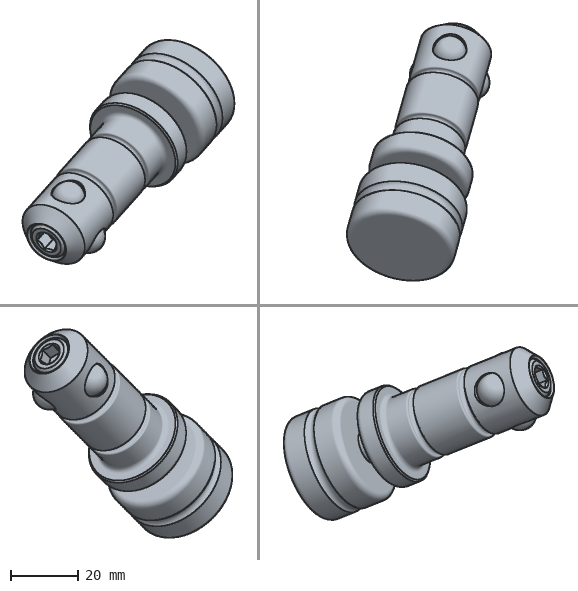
import cadquery as cq
import math


shank_radius = 11.0
nose_radius = 10.8
nose_chamfer = 4.0
collar_radius = 15.2
collar_front_y = 49.5
collar_length = 7.0
collar_rear_fillet = 2.0
collar_front_chamfer = 0.5
collar_root_fillet = 1.5
collar_rear_y = collar_front_y + collar_length

front_groove_y = 21.6
groove_spacing = 18.0
rear_groove_y = front_groove_y + groove_spacing
groove_half_width = 1.0
groove_lip_fillet = 0.5
groove_bottom_radius = 9.25

ball_radius = 5.0
ball_orbit_radius = 8.1
ball_y = 12.45
ball_angles = (90, 210, 330)

screw_radius = 6.0
screw_length = 7.0
screw_chamfer = 1.0
screw_bore_chamfer = 0.65
hex_across_flats = 6.0
hex_depth = 5.0
hex_turn = 15
hex_countersink_radius = 3.6

spindle_radius = 5.2
spindle_front_y = rear_groove_y
spindle_depth_in_knob = 10.0

overall_length = 81.9
knob_radius = 16.5
knob_length = 20.0
knob_fillet = 2.0
knob_groove_radius = 2.0
knob_groove_depth = 1.0
knob_front_y = overall_length - knob_length


def disc(radius, start_y, end_y):
    """Cylinder on the Y axis between two Y positions."""
    return cq.Workplane("XZ", origin=(0, start_y, 0)).circle(radius).extrude(start_y - end_y)


def turn(profile):
    """Revolve a closed XY profile, with X as the radius, around the Y axis."""
    return profile.revolve(360, (0, 0, 0), (0, 1, 0))


def groove_cutter(centre_y, front_radius, rear_radius):
    """Ring that cuts a round-bottomed groove with rounded lips.

    The surface may have a different radius on the front and rear sides of the groove.
    """
    floor_centre_radius = groove_bottom_radius + groove_half_width
    front_wall_y = centre_y - groove_half_width
    rear_wall_y = centre_y + groove_half_width
    lip_centre_front = (front_radius - groove_lip_fillet, front_wall_y - groove_lip_fillet)
    lip_centre_rear = (rear_radius - groove_lip_fillet, rear_wall_y + groove_lip_fillet)
    diagonal = groove_lip_fillet * math.sqrt(0.5)
    clear_radius = shank_radius + groove_half_width
    profile = (
        cq.Workplane("XY")
        .moveTo(clear_radius, lip_centre_front[1])
        .lineTo(front_radius, lip_centre_front[1])
        .threePointArc(
            (lip_centre_front[0] + diagonal, lip_centre_front[1] + diagonal),
            (lip_centre_front[0], front_wall_y),
        )
        .lineTo(floor_centre_radius, front_wall_y)
        .threePointArc((groove_bottom_radius, centre_y), (floor_centre_radius, rear_wall_y))
        .lineTo(lip_centre_rear[0], rear_wall_y)
        .threePointArc(
            (lip_centre_rear[0] + diagonal, lip_centre_rear[1] - diagonal),
            (rear_radius, lip_centre_rear[1]),
        )
        .lineTo(clear_radius, lip_centre_rear[1])
        .close()
    )
    return turn(profile)


def ball_centre(angle):
    """Centre of the locking ball at an angle measured from +X towards +Z."""
    turn_angle = math.radians(angle)
    return cq.Vector(
        ball_orbit_radius * math.cos(turn_angle), ball_y, ball_orbit_radius * math.sin(turn_angle)
    )


def make_ball(angle):
    return cq.Workplane("XY").sphere(ball_radius).translate(ball_centre(angle))


def ball_pocket(angle):
    """Radial hole that ends in a round seat for the inner half of the ball."""
    centre = ball_centre(angle)
    outward = cq.Vector(centre.x, 0, centre.z)
    hole = cq.Solid.makeCylinder(ball_radius, nose_radius, centre, outward)
    return make_ball(angle).union(cq.Workplane(obj=hole))


def make_collar():
    collar = disc(collar_radius, collar_front_y, collar_rear_y)
    collar = collar.faces(">Y").edges().fillet(collar_rear_fillet)
    return collar.faces("<Y").edges().chamfer(collar_front_chamfer)


def collar_root():
    """Concave fillet ring where the shank meets the collar."""
    outer_radius = shank_radius + collar_root_fillet
    start_y = collar_front_y - collar_root_fillet
    diagonal = collar_root_fillet * math.sqrt(0.5)
    profile = (
        cq.Workplane("XY")
        .moveTo(spindle_radius, start_y)
        .lineTo(shank_radius, start_y)
        .threePointArc((outer_radius - diagonal, start_y + diagonal), (outer_radius, collar_front_y))
        .lineTo(spindle_radius, collar_front_y)
        .close()
    )
    return turn(profile)


def screw_bore():
    """Bore for the set screw, chamfered at its mouth."""
    mouth_radius = screw_radius + screw_bore_chamfer
    profile = cq.Workplane("XY").polyline([
        (0, 0),
        (mouth_radius, 0),
        (screw_radius, screw_bore_chamfer),
        (screw_radius, screw_length),
        (0, screw_length),
    ]).close()
    return turn(profile)


def make_shank():
    nose = disc(nose_radius, 0, front_groove_y).faces("<Y").edges().chamfer(nose_chamfer)
    body = nose.union(disc(shank_radius, front_groove_y, collar_front_y))
    body = body.union(collar_root()).union(make_collar())
    body = body.cut(groove_cutter(front_groove_y, nose_radius, shank_radius))
    body = body.cut(groove_cutter(rear_groove_y, shank_radius, shank_radius))
    for angle in ball_angles:
        body = body.cut(ball_pocket(angle))
    body = body.cut(screw_bore())
    return body.cut(disc(spindle_radius, spindle_front_y, collar_rear_y))


def make_set_screw():
    screw = disc(screw_radius, 0, screw_length).faces("<Y").edges().chamfer(screw_chamfer)
    hex_across_corners = hex_across_flats / math.cos(math.pi / 6)
    socket = (
        cq.Workplane("XZ")
        .polygon(6, hex_across_corners)
        .extrude(-hex_depth)
        .rotate((0, 0, 0), (0, 1, 0), -hex_turn)
    )
    countersink = cq.Workplane(
        obj=cq.Solid.makeCone(
            hex_countersink_radius, 0, hex_countersink_radius, cq.Vector(0, 0, 0), cq.Vector(0, 1, 0)
        )
    )
    return screw.cut(socket).cut(countersink)


def make_spindle():
    return disc(spindle_radius, spindle_front_y, knob_front_y + spindle_depth_in_knob)


def make_knob():
    knob = disc(knob_radius, knob_front_y, overall_length).edges().fillet(knob_fillet)
    groove_centre_radius = knob_radius - knob_groove_depth + knob_groove_radius
    groove_centre_y = knob_front_y + knob_length / 2
    groove = turn(
        cq.Workplane("XY").moveTo(groove_centre_radius, groove_centre_y).circle(knob_groove_radius)
    )
    return knob.cut(groove).cut(make_spindle())


shank = make_shank()
set_screw = make_set_screw()
spindle = make_spindle()
knob = make_knob()
balls = [make_ball(angle) for angle in ball_angles]

result = cq.Compound.makeCompound([
    shank.val(),
    set_screw.val(),
    spindle.val(),
    knob.val(),
    *[ball.val() for ball in balls],
])